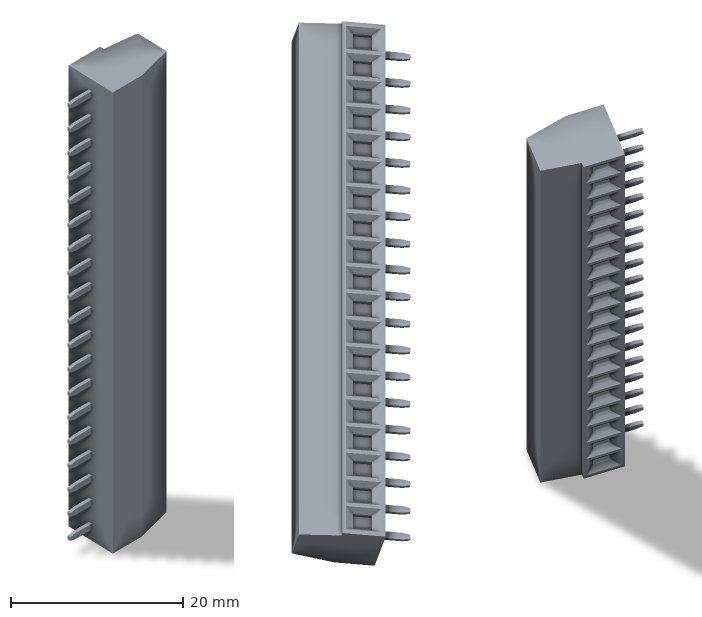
import cadquery as cq

housing_width = 7.3
housing_depth = 10.0
housing_length = 67.2
step_depth = 5.1
step_width = 0.6
left_top_x = 1.2
right_top_x = 6.0
right_shoulder_depth = 4.7

pole_count = 19
first_pole_z = 2.1
pole_pitch = (housing_length - 2 * first_pole_z) / (pole_count - 1)

mouth_low_y = 0.5
mouth_high_y = 4.7
mouth_height = 3.0
throat_low_y = 1.5
throat_high_y = 3.7
throat_height = 1.95
funnel_depth = 0.8
entry_depth = 1.4

pin_length = 3.5
pin_thickness = 0.5
pin_width = 0.9
pin_x = 3.6
tip_length = 0.9
tip_width = 0.55


def make_housing():
    return (
        cq.Workplane("XY")
        .polyline([
            (0, 0),
            (housing_width, 0),
            (housing_width, right_shoulder_depth),
            (right_top_x, housing_depth),
            (left_top_x, housing_depth),
            (step_width, step_depth),
            (0, step_depth),
        ])
        .close()
        .extrude(housing_length)
    )


def make_wire_entry(z):
    """Solid to remove for one wire entry centred at height z."""
    mouth_y = (mouth_low_y + mouth_high_y) / 2
    throat_y = (throat_low_y + throat_high_y) / 2
    funnel = (
        cq.Workplane("YZ")
        .center(mouth_y, z)
        .rect(mouth_high_y - mouth_low_y, mouth_height)
        .workplane(offset=funnel_depth)
        .center(throat_y - mouth_y, 0)
        .rect(throat_high_y - throat_low_y, throat_height)
        .loft(ruled=True)
    )
    throat = (
        cq.Workplane("YZ", origin=(funnel_depth, throat_y, z))
        .rect(throat_high_y - throat_low_y, throat_height)
        .extrude(entry_depth - funnel_depth)
    )
    return funnel.union(throat)


def make_pin(z):
    """Solder pin centred at height z, pointing to -Y."""
    tip_start_y = tip_length - pin_length
    return (
        cq.Workplane("YZ", origin=(pin_x, 0, z))
        .polyline([
            (0, -pin_width / 2),
            (0, pin_width / 2),
            (tip_start_y, pin_width / 2),
            (-pin_length, tip_width / 2),
            (-pin_length, -tip_width / 2),
            (tip_start_y, -pin_width / 2),
        ])
        .close()
        .extrude(pin_thickness / 2, both=True)
    )


result = make_housing()
for pole in range(pole_count):
    pole_z = first_pole_z + pole * pole_pitch
    result = result.cut(make_wire_entry(pole_z)).union(make_pin(pole_z))